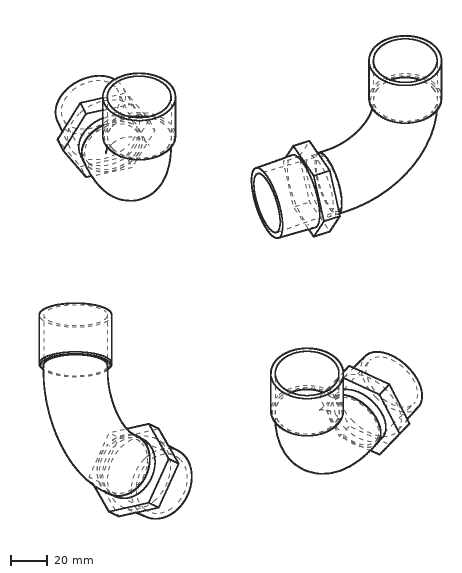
import cadquery as cq
import math

total_length = 104.0
hex_across_corners = 53.1
total_height = 97.0
hex_across_flats = hex_across_corners * math.cos(math.pi / 6)

thread_end_diameter = 40.6
thread_taper = 1 / 16
thread_length = 22.2
hex_width = 9.8
adapter_length = 37.2
neck_diameter = 35.0
adapter_mouth_diameter = 34.0
adapter_throat_diameter = 32.0
thread_root_diameter = thread_end_diameter + thread_taper * thread_length

pipe_diameter = 35.5
socket_diameter = 40.0
socket_bore = 35.0
socket_length = 29.2
socket_chamfer = 0.8
bend_radius = 41.7
outlet_x = total_length - socket_diameter / 2
top_z = total_height - hex_across_flats / 2
bend_start_x = outlet_x - bend_radius
bend_end_z = bend_radius
socket_base_z = top_z - socket_length


def x_plane(x):
    """Plane normal to +X, centred on the inlet axis."""
    return cq.Workplane("YZ", origin=(x, 0, 0))


def cone_along_x(start_diameter, end_diameter, length):
    """Truncated cone from X = 0 to X = length."""
    profile = [(0, 0), (0, start_diameter / 2), (length, end_diameter / 2), (length, 0)]
    return cq.Workplane("XZ").polyline(profile).close().revolve(360, (0, 0, 0), (1, 0, 0))


def make_adapter():
    """Tapered male end, hexagon and neck with a tapered through bore."""
    thread = cone_along_x(thread_end_diameter, thread_root_diameter, thread_length)
    hexagon = x_plane(thread_length).polygon(6, hex_across_corners).extrude(hex_width)
    neck_start = thread_length + hex_width
    neck = x_plane(neck_start).circle(neck_diameter / 2).extrude(adapter_length - neck_start)
    bore = cone_along_x(adapter_mouth_diameter, adapter_throat_diameter, adapter_length)
    return thread.union(hexagon).union(neck).cut(bore)


def make_socket():
    """Outlet socket with a chamfered lower rim."""
    return (
        cq.Workplane("XY", origin=(outlet_x, 0, socket_base_z))
        .circle(socket_diameter / 2)
        .extrude(socket_length)
        .faces("<Z")
        .chamfer(socket_chamfer)
    )


def make_elbow():
    """Solid quarter bend with straight ends and a blind outlet socket."""
    inlet = x_plane(adapter_length).circle(pipe_diameter / 2).extrude(bend_start_x - adapter_length)
    bend = (
        x_plane(bend_start_x)
        .circle(pipe_diameter / 2)
        .revolve(90, (0, bend_radius, 0), (-1, bend_radius, 0))
    )
    outlet = (
        cq.Workplane("XY", origin=(outlet_x, 0, bend_end_z))
        .circle(pipe_diameter / 2)
        .extrude(socket_base_z - bend_end_z)
    )
    bore = (
        cq.Workplane("XY", origin=(outlet_x, 0, socket_base_z))
        .circle(socket_bore / 2)
        .extrude(socket_length)
    )
    return inlet.union(bend).union(outlet).union(make_socket()).cut(bore)


adapter = make_adapter()
elbow = make_elbow()
result = cq.Compound.makeCompound([adapter.solids().val(), elbow.solids().val()])